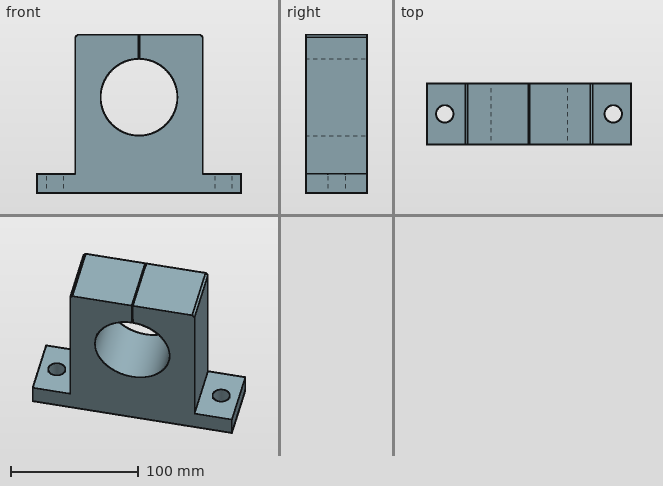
import cadquery as cq

length = 160.0
depth = 48.0
height = 124.0

base_height = 15.0
block_width = 100.0
top_chamfer = 2.0

bore_diameter = 60.0
bore_height = 75.0
slit_width = 1.0

hole_diameter = 13.5
hole_spacing = 132.0


def make_body():
    """Base flange with the clamp block standing on its middle."""
    base = cq.Workplane("XY").box(length, depth, base_height, centered=(True, True, False))
    block = cq.Workplane("XY").box(block_width, depth, height, centered=(True, True, False))
    block = block.faces(">Z").edges("|Y").chamfer(top_chamfer)
    return base.union(block)


def make_bore():
    """Shaft bore running through the full depth."""
    return (
        cq.Workplane("XZ")
        .center(0, bore_height)
        .circle(bore_diameter / 2)
        .extrude(depth / 2, both=True)
    )


def make_slit():
    """Narrow slit from the bore centre up through the top face."""
    return (
        cq.Workplane("XY")
        .workplane(offset=bore_height)
        .rect(slit_width, depth)
        .extrude(height - bore_height)
    )


def make_mounting_holes():
    """Vertical through holes, one in each end of the flange."""
    return (
        cq.Workplane("XY")
        .rarray(hole_spacing, 1.6, 2, 1)
        .circle(hole_diameter / 2)
        .extrude(base_height)
    )


result = make_body().cut(make_bore()).cut(make_slit()).cut(make_mounting_holes())